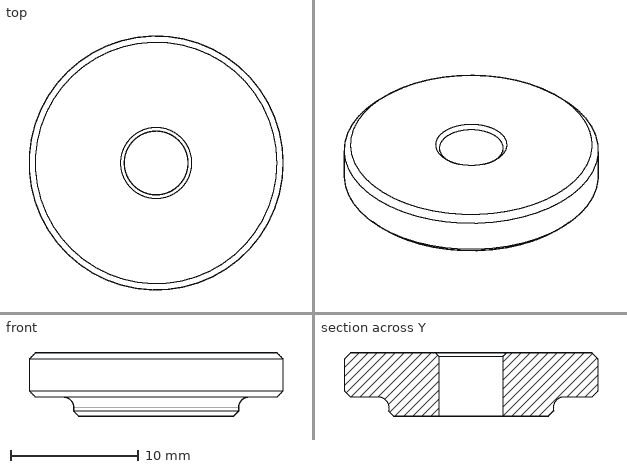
import cadquery as cq

disc_diameter = 20.0
disc_thickness = 3.5
disc_chamfer = 0.5

total_height = 5.0
boss_diameter = 13.0
boss_chamfer = 0.4
boss_fillet = 0.8

hole_diameter = 5.0
hole_chamfer = 0.3

disc_radius = disc_diameter / 2
boss_radius = boss_diameter / 2
boss_height = total_height - disc_thickness


def make_disc():
    """Chamfered disc standing on the boss height."""
    disc = cq.Workplane("XY").workplane(offset=boss_height).circle(disc_radius).extrude(disc_thickness)
    return disc.faces("<Z or >Z").chamfer(disc_chamfer)


def make_boss():
    """Revolved boss with a chamfered foot and a flared, filleted root."""
    profile = (
        cq.Workplane("XZ")
        .lineTo(boss_radius - boss_chamfer, 0)
        .lineTo(boss_radius, boss_chamfer)
        .lineTo(boss_radius, boss_height - boss_fillet)
        .radiusArc((boss_radius + boss_fillet, boss_height), boss_fillet)
        .lineTo(0, boss_height)
        .close()
    )
    return profile.revolve(360, (0, 0, 0), (0, 1, 0))


body = make_disc().union(make_boss())
result = body.faces(">Z").workplane().hole(hole_diameter)
result = result.faces(">Z").edges("%CIRCLE").edges(cq.selectors.RadiusNthSelector(0)).chamfer(hole_chamfer)